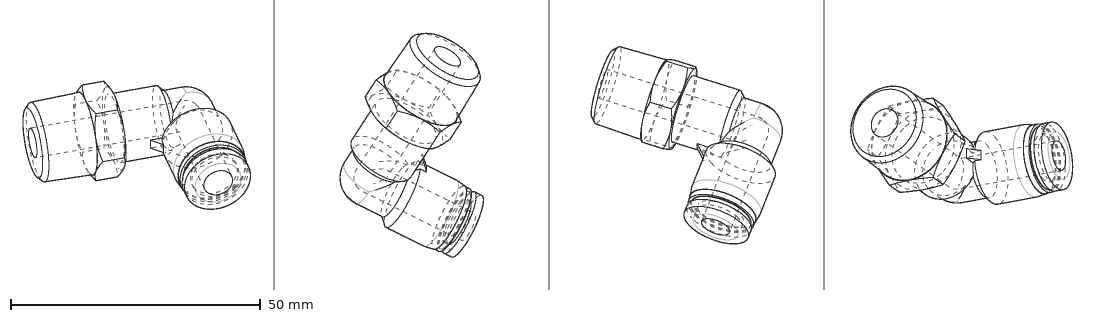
import cadquery as cq
import math

elbow_radius = 5.8
bore_radius = 3.0

leg_length = 32.0
body_radius = 7.0
body_shoulder = 5.0
hex_sides = 6
hex_across_flats = 17.0
hex_thickness = 6.0
hex_chamfer_angle = math.radians(30)
thread_length = 11.0
thread_root_radius = 8.4
thread_tip_radius = 8.13
thread_chamfer = 1.0

socket_radius = 7.4
socket_shoulder = 7.7
nose_start = 16.45
nose_end = 18.5
nose_radius = 7.1
sleeve_radius = 7.0
sleeve_end = 19.7
ring_radius = 6.45
ring_end = 19.82
collar_neck_radius = 4.9
collar_start = 20.8
collar_end = 22.9
collar_radius = 6.9
collar_bevel_length = 0.4
collar_bevel_depth = 2.1

web_leg = 2.1
web_thickness = 2.0

hex_near = leg_length - thread_length - hex_thickness
hex_far = leg_length - thread_length
hex_across_corners = hex_across_flats / math.cos(math.pi / hex_sides)


def turn_about_y(points):
    """Revolve a closed (radius, y) outline about the thread axis."""
    return cq.Workplane("XY").polyline(points).close().revolve(360, (0, 0, 0), (0, 1, 0))


def make_ball():
    """Rounded outer corner of the elbow."""
    return cq.Workplane("XY").sphere(elbow_radius)


def make_body():
    """Stepped round neck between the elbow ball and the hexagon."""
    bevel = body_radius - elbow_radius
    return turn_about_y([
        (0, 0),
        (elbow_radius, 0),
        (elbow_radius, bevel - body_shoulder),
        (body_radius, -body_shoulder),
        (body_radius, -hex_near),
        (0, -hex_near),
    ])


def make_hexagon():
    """Wrench hexagon, corners on the X axis, both ends bevelled by a cone."""
    flat_radius = hex_across_flats / 2
    corner_radius = hex_across_corners / 2
    bevel = (corner_radius - flat_radius) * math.tan(hex_chamfer_angle)
    prism = (
        cq.Workplane("XZ", origin=(0, -hex_near, 0))
        .polygon(hex_sides, hex_across_corners)
        .extrude(hex_thickness)
    )
    envelope = turn_about_y([
        (0, -hex_near),
        (flat_radius, -hex_near),
        (corner_radius, -hex_near - bevel),
        (corner_radius, bevel - hex_far),
        (flat_radius, -hex_far),
        (0, -hex_far),
    ])
    return prism.intersect(envelope)


def make_thread():
    """Plain taper that stands for the pipe thread, bevelled at its tip."""
    return turn_about_y([
        (0, -hex_far),
        (thread_root_radius, -hex_far),
        (thread_tip_radius, thread_chamfer - leg_length),
        (thread_tip_radius - thread_chamfer, -leg_length),
        (0, -leg_length),
    ])


def make_socket():
    """Push-in socket with a tapered nose, a retaining sleeve and the release collar."""
    bevel = socket_radius - elbow_radius
    outline = (
        cq.Workplane("XY")
        .moveTo(0, 0)
        .lineTo(0, elbow_radius)
        .lineTo(socket_shoulder - bevel, elbow_radius)
        .lineTo(socket_shoulder, socket_radius)
        .lineTo(nose_start, socket_radius)
        .lineTo(nose_end, nose_radius)
        .lineTo(nose_end, sleeve_radius)
        .lineTo(sleeve_end, sleeve_radius)
        .lineTo(sleeve_end, ring_radius)
        .lineTo(ring_end, ring_radius)
        .lineTo(ring_end, collar_neck_radius)
        .lineTo(collar_start, collar_neck_radius)
        .lineTo(collar_start, collar_radius)
        .lineTo(collar_end - collar_bevel_length, collar_radius)
        .lineTo(collar_end, collar_radius - collar_bevel_depth)
        .lineTo(collar_end, 0)
        .close()
    )
    return outline.revolve(360, (0, 0, 0), (1, 0, 0))


def make_web():
    """Thin 45 degree web filling the inside corner of the elbow."""
    reach = body_radius + web_leg
    drop = socket_radius + web_leg
    return (
        cq.Workplane("XY")
        .polyline([(0, 0), (reach, 0), (reach, -socket_radius), (body_radius, -drop), (0, -drop)])
        .close()
        .extrude(web_thickness / 2, both=True)
    )


def make_bore():
    """Right-angled flow passage with a ball-shaped turn."""
    inlet = cq.Workplane("XZ").circle(bore_radius).extrude(leg_length)
    outlet = cq.Workplane("YZ").circle(bore_radius).extrude(collar_end)
    turn = cq.Workplane("XY").sphere(bore_radius)
    return inlet.union(outlet).union(turn)


result = (
    make_ball()
    .union(make_body())
    .union(make_hexagon())
    .union(make_thread())
    .union(make_socket())
    .union(make_web())
    .cut(make_bore())
)